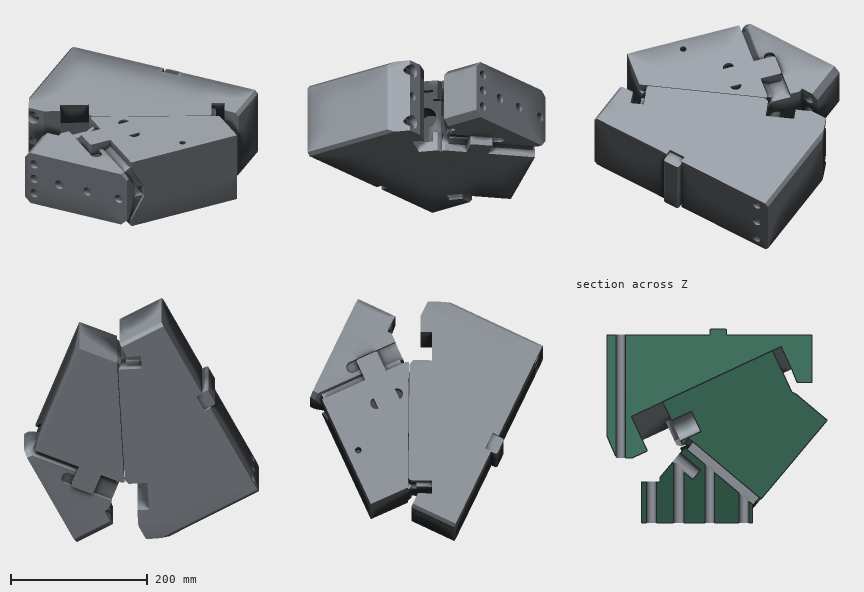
import cadquery as cq
import math

HEIGHT = 110.0
HALF_HEIGHT = HEIGHT / 2
TOTAL_LENGTH = 322.2

SLIDE_ANGLE = 40.0
GIB_ANGLE = 25.0

SLIDER_SIDE = 171.7
SLIDER_BACK = 59.3
SLIDER_NOSE = 2.0
SLIDER_CORNER_Y = 18.7

DRIVER_LEFT = 50.3
DRIVER_RIGHT = 213.0
DRIVER_STEP_X = 77.3
DRIVER_STEP_Y = 60.3
DRIVER_HALF = 43.2
DRIVER_CHAMFER = 9.0
DRIVER_BLANK = 145.0
DRIVER_LENGTH = 134.0
SHOULDER_DROP = 13.0
RIDGE_SLOPE = math.tan(math.radians(30))
RIDGE_FLAT = 8.0

PLATE_ACROSS = 13.5
PLATE_END_INSET = 4.0
PLATE_NOSE_INSET = 5.0

TAB_NEAR = 69.3
TAB_FAR = 102.5
TAB_REACH = 32.5
TAB_ROOT = 3.2
TAB_CHAMFER = 2.0
POCKET_REACH = 35.8
POCKET_FLOOR = 35.5
TAB_CLEARANCE = 0.5
END_BORE_DIAMETER = 17.7
END_BORE_ACROSS = -12.2
END_BORE_DEPTH = 38.7
RELIEF_RADIUS = 8.5
RELIEF_OVERRUN = 9.0

HOLDER_RIGHT = 300.0
HOLDER_BACK = 275.0
HOLDER_FRONT = 95.0
HOLDER_FLAT_LEFT = 13.5
HOLDER_FLAT_RIGHT = 37.5
HOLDER_NOSE_Y = 126.3
HOLDER_ARM_X = 277.5
HOLDER_ARM_Y = 205.3
HOLDER_CHAMFER = 4.8
JOINT_GAP = 1.0

NOTCH_DEPTH = 33.5
NOTCH_LEFT = -232.0
NOTCH_RIGHT = -190.0
NOTCH_LIP = 16.5
HOOK_DEPTH = 35.5
HOOK_LEFT = -11.0
HOOK_RIGHT = 8.7
LIP_RUN = 6.0
LIP_RISE = 5.0
TONGUE_START = -182.0
TONGUE_END = -4.5
TONGUE_FOOT = 5.5
HOOK_FILLET = 4.8
TONGUE_NECK_HALF = 25.8
TONGUE_HEAD_HALF = 40.3
TONGUE_NECK_HEIGHT = 13.0
VAULT_SLOPE = math.tan(math.radians(35))
BORE_RADIUS = 16.0
BORE_DEPTH = 32.2
BORE_HEIGHT = 25.8

KEY_LEFT = 149.8
KEY_RIGHT = 175.0
KEY_FRONT = 265.5
KEY_BACK = 284.0
KEY_HALF = 49.3
KEY_CHAMFER = 2.0

HOLDER_HOLE_X = 20.0
HOLDER_HOLE_SPACING = 40.0
HOLDER_HOLE_DIAMETER = 13.0
COUNTERBORE_DIAMETER = 20.5
COUNTERBORE_DEPTH = 13.0
DRIVER_SCREW_X = 65.0
DRIVER_SCREW_SPACING = 24.8
DRIVER_HOLE_DIAMETER = 13.5
DRIVER_ROW_X = (150.0, 200.0)
FEED_HOLE_X = 105.0
FEED_HOLE_DIAMETER = 14.5
LIFT_HOLE = (257.8, 99.2)
LIFT_HOLE_DIAMETER = 9.7
LIFT_HOLE_DEPTH = 19.3
END_POCKETS = (((157.5, 114.5), 180.0), ((183.5, 92.5), 0.0))
END_POCKET_RADIUS = 8.5
END_POCKET_DEPTH = 13.0

SLIDE_COS = math.cos(math.radians(SLIDE_ANGLE))
SLIDE_SIN = math.sin(math.radians(SLIDE_ANGLE))
GIB_COS = math.cos(math.radians(GIB_ANGLE))
GIB_SIN = math.sin(math.radians(GIB_ANGLE))
CORNER_X = TOTAL_LENGTH - SLIDER_SIDE * SLIDE_SIN


def slide_point(along, across):
    """Point in XY from the slider's lower corner, along and across the travel."""
    return (
        CORNER_X + along * SLIDE_COS + across * SLIDE_SIN,
        SLIDER_CORNER_Y - along * SLIDE_SIN + across * SLIDE_COS,
    )


JOINT_X, JOINT_Y = slide_point(-SLIDER_BACK, SLIDER_SIDE)


def gib_point(along, above):
    """Point in XY from the slider's top joint corner, along and above the joint."""
    return (
        JOINT_X + along * GIB_COS - above * GIB_SIN,
        JOINT_Y + along * GIB_SIN + above * GIB_COS,
    )


def slab(points, bottom, top):
    """XY outline extruded between two heights."""
    return cq.Workplane("XY").workplane(offset=bottom).polyline(points).close().extrude(top - bottom)


def slide_plane(along, across):
    """Plane square to the travel, its axes across the travel and along Z."""
    origin = (*slide_point(along, across), 0)
    return cq.Plane(origin, (SLIDE_SIN, SLIDE_COS, 0), (SLIDE_COS, -SLIDE_SIN, 0))


def gib_plane(along, above):
    """Plane square to the joint, its axes above the joint and along Z."""
    origin = (*gib_point(along, above), 0)
    return cq.Plane(origin, (-GIB_SIN, GIB_COS, 0), (GIB_COS, GIB_SIN, 0))


def slide_prism(section, start, end):
    """(across, z) section swept along the travel."""
    return cq.Workplane(slide_plane(start, 0)).polyline(section).close().extrude(end - start)


def gib_prism(section, start, end):
    """(above, z) section swept along the joint."""
    return cq.Workplane(gib_plane(start, 0)).polyline(section).close().extrude(end - start)


def mirrored(half):
    """Half section with z > 0, completed symmetrically about z = 0."""
    return half + [(u, -z) for u, z in reversed(half)]


def both_sides(body):
    """The body together with its mirror image below z = 0."""
    return body.union(body.mirror("XY"))


def ridge_across(z):
    """Across-travel position of the driver's ridge face at height z."""
    return (DRIVER_HALF - z) * RIDGE_SLOPE - SHOULDER_DROP


PLATE_TOP = DRIVER_HALF + (PLATE_ACROSS - SHOULDER_DROP) / RIDGE_SLOPE


def plate_toe():
    """Where the plate's outer edge, square to the ridge, meets the ridge face."""
    across = -PLATE_ACROSS / (1 + RIDGE_SLOPE**2)
    return (across, PLATE_TOP + across * RIDGE_SLOPE)


def vault_above(z):
    """Height above the joint of the V-shaped notch roof."""
    return NOTCH_DEPTH + (HALF_HEIGHT - z) * VAULT_SLOPE


def tongue(start, end):
    """T-section with a V-shaped crown, running along the joint."""
    half = [
        (0, TONGUE_NECK_HALF),
        (TONGUE_NECK_HEIGHT, TONGUE_NECK_HALF),
        (TONGUE_NECK_HEIGHT, TONGUE_HEAD_HALF),
        (vault_above(TONGUE_HEAD_HALF), TONGUE_HEAD_HALF),
    ]
    crown = [(vault_above(0), 0)]
    return gib_prism(half + crown + [(u, -z) for u, z in reversed(half)], start, end)


def y_hole(x, z, diameter, start, length):
    """Cylinder along +Y."""
    return cq.Workplane("XZ", origin=(x, start, z)).circle(diameter / 2).extrude(-length)


def make_holder():
    outline = [
        (0, HOLDER_BACK),
        (0, HOLDER_NOSE_Y),
        (HOLDER_FLAT_LEFT, HOLDER_FRONT),
        (HOLDER_FLAT_RIGHT, HOLDER_FRONT),
        gib_point(NOTCH_LEFT, NOTCH_LIP),
        gib_point(NOTCH_LEFT, NOTCH_DEPTH),
        gib_point(NOTCH_RIGHT, NOTCH_DEPTH),
        gib_point(NOTCH_RIGHT, JOINT_GAP + LIP_RISE),
        gib_point(NOTCH_RIGHT + LIP_RUN, JOINT_GAP),
        gib_point(HOOK_LEFT, JOINT_GAP),
        gib_point(HOOK_LEFT, HOOK_DEPTH),
        gib_point(HOOK_RIGHT, HOOK_DEPTH),
        (HOLDER_ARM_X, HOLDER_ARM_Y),
        (HOLDER_RIGHT, HOLDER_ARM_Y),
        (HOLDER_RIGHT, HOLDER_BACK),
    ]
    body = slab(outline, -HALF_HEIGHT, HALF_HEIGHT)
    body = body.faces("<X or >X").edges("|Y").chamfer(HOLDER_CHAMFER)
    hook_corner = gib_point(HOOK_LEFT, JOINT_GAP)
    body = body.edges(cq.selectors.NearestToPointSelector((*hook_corner, 0))).fillet(HOOK_FILLET)

    vault = [(NOTCH_DEPTH, HALF_HEIGHT), (vault_above(0), 0), (NOTCH_DEPTH, -HALF_HEIGHT)]
    for start, end in ((NOTCH_LEFT, NOTCH_RIGHT), (HOOK_LEFT, HOOK_RIGHT)):
        body = body.cut(gib_prism(vault, start, end))
    body = body.cut(tongue(NOTCH_RIGHT, HOOK_LEFT))

    for row in (-1, 0, 1):
        z = row * HOLDER_HOLE_SPACING
        body = body.cut(y_hole(HOLDER_HOLE_X, z, HOLDER_HOLE_DIAMETER, 0, HOLDER_BACK))
        if row:
            reach = HOLDER_FRONT + COUNTERBORE_DEPTH
            body = body.cut(y_hole(HOLDER_HOLE_X, z, COUNTERBORE_DIAMETER, 0, reach))

    key_outline = [
        (KEY_LEFT, KEY_FRONT),
        (KEY_RIGHT, KEY_FRONT),
        (KEY_RIGHT, KEY_BACK),
        (KEY_LEFT, KEY_BACK),
    ]
    keyway = slab(key_outline, -HALF_HEIGHT, HALF_HEIGHT)
    key = slab(key_outline, -KEY_HALF, KEY_HALF)
    key = key.faces(">Y").edges("|Z").chamfer(KEY_CHAMFER)
    return body.cut(keyway).union(key)


def make_wear_plates():
    """Plates that ride on the driver's ridge, their outer edges square to it."""
    ridge_top = ridge_across(RIDGE_FLAT)
    plate = slide_prism(
        [
            (0, PLATE_TOP),
            plate_toe(),
            (ridge_top, RIDGE_FLAT),
            (ridge_top + PLATE_ACROSS, RIDGE_FLAT),
        ],
        PLATE_NOSE_INSET - DRIVER_LENGTH,
        -PLATE_END_INSET,
    )
    return both_sides(plate)


def make_tabs():
    """Hooks that reach over the driver, one on each side."""
    outline = [
        slide_point(-TAB_FAR, -TAB_REACH),
        slide_point(-TAB_NEAR, -TAB_REACH),
        slide_point(-TAB_NEAR, TAB_ROOT),
        slide_point(-TAB_FAR, TAB_ROOT),
    ]
    tab = slab(outline, POCKET_FLOOR + TAB_CLEARANCE, HALF_HEIGHT)
    tab = tab.edges("|Z").edges("<Y or <X").chamfer(TAB_CHAMFER)
    return both_sides(tab)


def make_end_pocket(centre, facing):
    """Half-round pocket in the top face."""
    disc = cq.Workplane("XY").circle(END_POCKET_RADIUS).extrude(END_POCKET_DEPTH)
    size = 2 * END_POCKET_RADIUS
    other_half = cq.Workplane("XY").center(-size / 2, 0).rect(size, size).extrude(END_POCKET_DEPTH)
    turned = disc.cut(other_half).rotate((0, 0, 0), (0, 0, 1), facing - SLIDE_ANGLE)
    return turned.translate((*centre, HALF_HEIGHT - END_POCKET_DEPTH))


def make_slider():
    gib_run = 1 / math.tan(math.radians(SLIDE_ANGLE + GIB_ANGLE))
    nose = -SLIDER_BACK - (SLIDER_SIDE - SLIDER_NOSE) * gib_run
    outline = [
        slide_point(0, 0),
        slide_point(0, SLIDER_SIDE),
        slide_point(-SLIDER_BACK, SLIDER_SIDE),
        slide_point(nose, SLIDER_NOSE),
        slide_point(-DRIVER_LENGTH, 0),
    ]
    body = slab(outline, -HALF_HEIGHT, HALF_HEIGHT)

    foot = [gib_point(TONGUE_END, TONGUE_FOOT), gib_point(0, 0), gib_point(HOOK_LEFT, 0)]
    body = body.union(tongue(TONGUE_START, TONGUE_END))
    body = body.union(slab(foot, -TONGUE_HEAD_HALF, TONGUE_HEAD_HALF))

    groove_half = [(0, PLATE_TOP), (ridge_across(RIDGE_FLAT) + PLATE_ACROSS, RIDGE_FLAT)]
    body = body.cut(slide_prism(mirrored(groove_half), nose, 0))
    body = body.union(make_wear_plates()).union(make_tabs())

    tongue_bore = cq.Workplane(gib_plane(TONGUE_START, BORE_HEIGHT)).circle(BORE_RADIUS)
    body = body.cut(tongue_bore.extrude(BORE_DEPTH))

    lift_hole = cq.Workplane("XY").circle(LIFT_HOLE_DIAMETER / 2).extrude(-LIFT_HOLE_DEPTH)
    body = body.cut(lift_hole.translate((*LIFT_HOLE, HALF_HEIGHT)))
    for centre, facing in END_POCKETS:
        body = body.cut(make_end_pocket(centre, facing))
    return body


def make_driver():
    ridge_top = ridge_across(RIDGE_FLAT)
    end_x, end_y = slide_point(-DRIVER_LENGTH, 0)
    step_y = end_y - (end_x - DRIVER_STEP_X) * SLIDE_COS / SLIDE_SIN
    outline = [
        (DRIVER_LEFT, 0),
        (DRIVER_RIGHT, 0),
        (DRIVER_RIGHT, DRIVER_BLANK),
        slide_point(-DRIVER_LENGTH, DRIVER_BLANK),
        (DRIVER_STEP_X, step_y),
        (DRIVER_STEP_X, DRIVER_STEP_Y),
        (DRIVER_LEFT, DRIVER_STEP_Y),
    ]
    body = slab(outline, -DRIVER_HALF, DRIVER_HALF)
    body = body.faces("<X or >X").edges("|Y").chamfer(DRIVER_CHAMFER)

    roof_half = [(-SLIDER_SIDE, DRIVER_HALF), (-SHOULDER_DROP, DRIVER_HALF), (ridge_top, RIDGE_FLAT)]
    body = body.intersect(slide_prism(mirrored(roof_half), -2 * DRIVER_LENGTH, DRIVER_LENGTH))

    pocket = slab(
        [
            slide_point(-DRIVER_LENGTH, -POCKET_REACH),
            slide_point(-TAB_NEAR, -POCKET_REACH),
            slide_point(-TAB_NEAR, 0),
            slide_point(-DRIVER_LENGTH, 0),
        ],
        POCKET_FLOOR,
        HALF_HEIGHT,
    )
    relief_along = RELIEF_OVERRUN - TAB_NEAR
    relief_across = RELIEF_RADIUS - POCKET_REACH
    relief = slab(
        [
            slide_point(-TAB_NEAR, -POCKET_REACH),
            slide_point(relief_along, -POCKET_REACH),
            slide_point(relief_along, relief_across + RELIEF_RADIUS),
            slide_point(-TAB_NEAR, relief_across + RELIEF_RADIUS),
        ],
        POCKET_FLOOR,
        HALF_HEIGHT,
    )
    relief_end = cq.Workplane("XY").circle(RELIEF_RADIUS).extrude(HALF_HEIGHT - POCKET_FLOOR)
    relief_end = relief_end.translate((*slide_point(relief_along, relief_across), POCKET_FLOOR))
    body = body.cut(both_sides(pocket.union(relief).union(relief_end)))

    for row in (-1, 0, 1):
        screw_z = row * DRIVER_SCREW_SPACING
        body = body.cut(y_hole(DRIVER_SCREW_X, screw_z, DRIVER_HOLE_DIAMETER, 0, HOLDER_BACK))
    for x in DRIVER_ROW_X:
        body = body.cut(y_hole(x, 0, DRIVER_HOLE_DIAMETER, 0, HOLDER_BACK))

    nose_x, nose_y = slide_point(-DRIVER_LENGTH, END_BORE_ACROSS)
    feed_length = nose_y - (FEED_HOLE_X - nose_x) * SLIDE_SIN / SLIDE_COS
    body = body.cut(y_hole(FEED_HOLE_X, 0, FEED_HOLE_DIAMETER, 0, feed_length))
    end_bore = cq.Workplane(slide_plane(-DRIVER_LENGTH, END_BORE_ACROSS)).circle(END_BORE_DIAMETER / 2)
    return body.cut(end_bore.extrude(END_BORE_DEPTH))


holder = make_holder()
slider = make_slider()
driver = make_driver()
result = cq.Compound.makeCompound([body.solids().val() for body in (holder, slider, driver)])